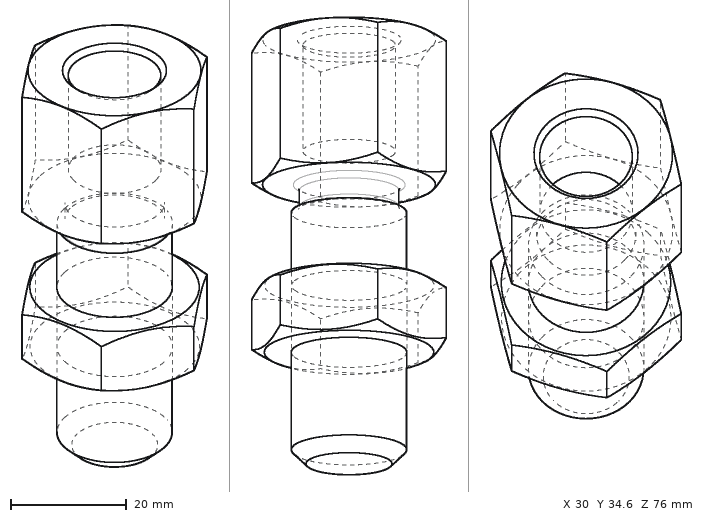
import cadquery as cq
import math

TOTAL_LENGTH = 76.0
ACROSS_FLATS = 30.0
HEAD_HEIGHT = 26.0
SHANK_DIAMETER = 20.0
SHANK_TIP_DIAMETER = 14.9
TIP_CHAMFER_HEIGHT = 2.5

NECK_DIAMETER = 17.25
NECK_LENGTH = 5.0
NECK_FILLET = 1.1

BORE_DIAMETER = 16.0
BORE_MOUTH_DIAMETER = 18.0
BORE_CHAMFER_HEIGHT = 1.0
BORE_DEPTH = 20.0

NUT_BOTTOM = 20.0
NUT_HEIGHT = 12.0

CORNER_ANGLE = 30.0
HEAD_FACE_DIAMETER = 29.95
NUT_FACE_DIAMETER = 29.3

ACROSS_CORNERS = ACROSS_FLATS / math.cos(math.radians(30))
HEAD_BOTTOM = TOTAL_LENGTH - HEAD_HEIGHT
SHOULDER = HEAD_BOTTOM - NECK_LENGTH


def revolve_profile(points):
    """Solid of revolution about Z from (radius, height) points."""
    return cq.Workplane("XZ").polyline(points).close().revolve(360, (0, 0), (0, 1))


def chamfered_hexagon(bottom, height, face_diameter):
    """Hexagonal prism, corners along Y, trimmed by a cone at each end."""
    prism = (
        cq.Workplane("XY", origin=(0, 0, bottom))
        .polygon(6, ACROSS_CORNERS)
        .extrude(height)
        .rotate((0, 0, 0), (0, 0, 1), 30)
    )
    face_radius = face_diameter / 2
    outer_radius = ACROSS_CORNERS / 2 + 0.75
    drop = (outer_radius - face_radius) * math.tan(math.radians(CORNER_ANGLE))
    top = bottom + height
    envelope = revolve_profile([
        (0, bottom),
        (face_radius, bottom),
        (outer_radius, bottom + drop),
        (outer_radius, top - drop),
        (face_radius, top),
        (0, top),
    ])
    return prism.intersect(envelope)


def make_shank():
    """Chamfered shank with a filleted relief groove at its upper end."""
    radius = SHANK_DIAMETER / 2
    neck_radius = NECK_DIAMETER / 2
    fillet_center = neck_radius + NECK_FILLET
    arc_offset = NECK_FILLET * math.sqrt(0.5)
    lower_center = SHOULDER + NECK_FILLET
    upper_center = HEAD_BOTTOM - NECK_FILLET
    return (
        cq.Workplane("XZ")
        .moveTo(0, 0)
        .lineTo(SHANK_TIP_DIAMETER / 2, 0)
        .lineTo(radius, TIP_CHAMFER_HEIGHT)
        .lineTo(radius, SHOULDER)
        .lineTo(fillet_center, SHOULDER)
        .threePointArc((fillet_center - arc_offset, lower_center - arc_offset), (neck_radius, lower_center))
        .lineTo(neck_radius, upper_center)
        .threePointArc((fillet_center - arc_offset, upper_center + arc_offset), (fillet_center, HEAD_BOTTOM))
        .lineTo(0, HEAD_BOTTOM)
        .close()
        .revolve(360, (0, 0), (0, 1))
    )


def make_bore():
    """Cutter for the flat-bottomed bore with its chamfered mouth."""
    floor = TOTAL_LENGTH - BORE_DEPTH
    return revolve_profile([
        (0, floor),
        (BORE_DIAMETER / 2, floor),
        (BORE_DIAMETER / 2, TOTAL_LENGTH - BORE_CHAMFER_HEIGHT),
        (BORE_MOUTH_DIAMETER / 2, TOTAL_LENGTH),
        (0, TOTAL_LENGTH),
    ])


def make_screw():
    """Hexagon head and shank in one piece, bored from the top."""
    head = chamfered_hexagon(HEAD_BOTTOM, HEAD_HEIGHT, HEAD_FACE_DIAMETER)
    return head.union(make_shank()).cut(make_bore())


def make_nut():
    """Lock nut that fits closely around the shank."""
    hole = cq.Workplane("XY", origin=(0, 0, NUT_BOTTOM)).circle(SHANK_DIAMETER / 2).extrude(NUT_HEIGHT)
    return chamfered_hexagon(NUT_BOTTOM, NUT_HEIGHT, NUT_FACE_DIAMETER).cut(hole)


screw = make_screw()
nut = make_nut()

result = cq.Compound.makeCompound([screw.val(), nut.val()])